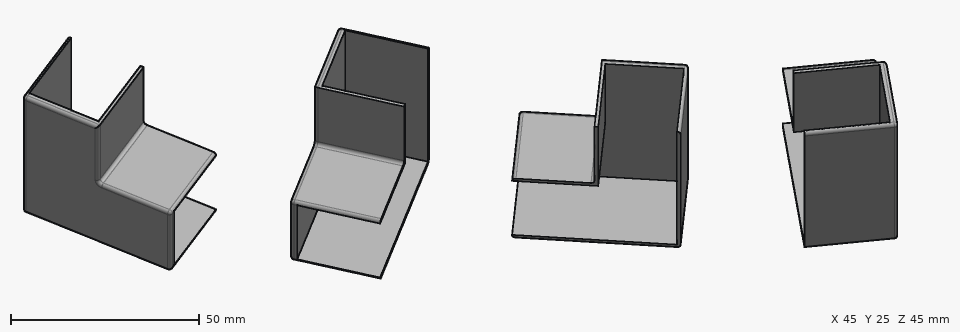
import cadquery as cq

leg_length = 45.0
arm_width = 23.0
depth = 25.0
side_wall = 1.0
front_wall = 2.0
edge_radius = 1.0


def l_outline(start, width, end, y):
    """L profile in the XZ plane at the given Y, with arms running from start to end."""
    return cq.Workplane("XZ", origin=(0, y, 0)).polyline([
        (start, start),
        (end, start),
        (end, width),
        (width, width),
        (width, end),
        (start, end),
    ]).close()


def outer_body():
    """Solid L with rounded outer edges; the tip of the upper arm next to the bend stays sharp."""
    body = l_outline(0, arm_width, leg_length, 0).extrude(-depth)
    sharp_tip = cq.selectors.NearestToPointSelector((arm_width, depth / 2, leg_length))
    corners = cq.selectors.StringSyntaxSelector("|Y")
    body = body.edges(corners - sharp_tip).fillet(edge_radius)
    return body.faces("<Y").edges().fillet(edge_radius)


def duct_cavity():
    """L-shaped channel behind the front plate, leaving the side walls and running out of both arm ends."""
    inner_width = arm_width - side_wall
    return l_outline(side_wall, inner_width, leg_length, front_wall).extrude(-(depth - front_wall))


result = outer_body().cut(duct_cavity())